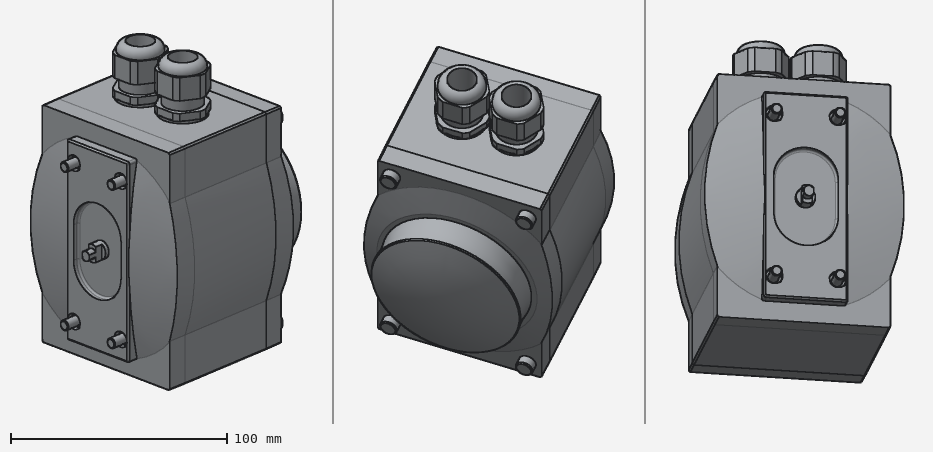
import cadquery as cq
import math

box_half_width = 40.8
box_half_height = 60.0
box_half_depth = 37.3
seam_y = 27.3
edge_chamfer = 0.9
draft_angle = 0.7
end_length = box_half_depth - seam_y

bulge_half_width = 47.0
bulge_half_chord = 34.7
cap_edge_radius = 53.8
front_cap_radius = 242.0
rear_cap_radius = 185.6
bulge_end_height = 55.0
rear_flat_diameter = 79.6

pad_half_width = 19.8
pad_half_height = 50.6
front_bulge_end_height = pad_half_height - 0.3
pad_face_y = -43.0
pad_corner_radius = 1.2
pad_rim_chamfer = 0.9
pocket_width = 30.3
pocket_height = 48.3
pocket_depth = 3.0
pocket_floor_fillet = 1.0

stud_x = 14.92
stud_z = 40.0
stud_diameter = 5.0
stud_tip_y = -49.7
stud_tip_chamfer = 0.5
stud_hole_diameter = 7.9

shaft_diameter = 9.0
shaft_flat_width = 4.5
shaft_collar_y = -42.3
shaft_shoulder_y = -46.5
shaft_tip_diameter = 5.0
shaft_tip_y = -51.0

screw_x = 33.7
screw_z = 51.8
screw_head_diameter = 8.5
screw_head_y = 42.0
screw_head_chamfer = 0.6

dome_radius = 37.1
dome_waist_radius = 36.5
dome_rim_y = 54.5
dome_crown_y = 55.2
dome_crown_radius = 36.7
dome_top_y = 61.8

gland_x = 13.5
gland_bore_diameter = 13.8
gland_seal_diameter = 24.0
gland_seal_top = 1.5
gland_hex_flats = 24.0
gland_hex_corner_diameter = 26.0
gland_base_hex_top = 5.5
gland_neck_diameter = 20.0
gland_nut_bottom = 11.9
gland_nut_top = 23.6
gland_cap_diameter = 22.5
gland_top = 148.5 - 2 * box_half_height


def cylinder_along_y(diameter, y_start, y_end, x=0.0, z=0.0):
    """Cylinder from y_start to the smaller y_end."""
    plane = cq.Workplane("XZ", origin=(x, y_start, z))
    return plane.circle(diameter / 2).extrude(y_start - y_end)


def box_outline(y):
    plane = cq.Workplane("XZ", origin=(0, y, 0))
    sketch = (
        cq.Sketch()
        .rect(2 * box_half_width, 2 * box_half_height)
        .vertices()
        .chamfer(edge_chamfer)
    )
    return plane.placeSketch(sketch)


def bulge_outline(y, end_height):
    rise = bulge_half_width - box_half_width
    arc_radius = (bulge_half_chord**2 + rise**2) / (2 * rise)
    arc_center_x = bulge_half_width - arc_radius
    end_x = arc_center_x + math.sqrt(arc_radius**2 - end_height**2)
    return (
        cq.Workplane("XZ", origin=(0, y, 0))
        .moveTo(end_x, -end_height)
        .threePointArc((bulge_half_width, 0), (end_x, end_height))
        .lineTo(-end_x, end_height)
        .threePointArc((-bulge_half_width, 0), (-end_x, -end_height))
        .close()
    )


def end_section(cap_radius, end_height):
    """Drafted end of the box with its spherical cap, on the -Y side."""
    cap_rise = cap_radius - math.sqrt(cap_radius**2 - cap_edge_radius**2)
    box_end = box_outline(-seam_y).extrude(end_length, taper=draft_angle)
    bulge_end = bulge_outline(-seam_y, end_height)
    bulge_end = bulge_end.extrude(end_length + cap_rise, taper=draft_angle)
    sphere_y = cap_radius - box_half_depth - cap_rise
    cap_sphere = cq.Workplane("XY").sphere(cap_radius).translate((0, sphere_y, 0))
    return box_end.union(bulge_end.intersect(cap_sphere))


def middle_section():
    box = box_outline(seam_y).extrude(2 * seam_y)
    return box.union(bulge_outline(seam_y, bulge_end_height).extrude(2 * seam_y))


def mounting_pad():
    return (
        cq.Workplane("XZ", origin=(0, -seam_y, 0))
        .rect(2 * pad_half_width, 2 * pad_half_height)
        .extrude(-seam_y - pad_face_y)
        .edges("|Y")
        .fillet(pad_corner_radius)
        .faces("<Y")
        .chamfer(pad_rim_chamfer)
    )


def pad_pocket():
    """Cutter that also clears the crown of the cap where it stands above the pad face."""
    return (
        cq.Workplane("XZ", origin=(0, shaft_tip_y, 0))
        .slot2D(pocket_height, pocket_width, 90)
        .extrude(shaft_tip_y - pad_face_y - pocket_depth)
        .faces(">Y")
        .edges()
        .fillet(pocket_floor_fillet)
    )


def drive_shaft():
    floor_y = pad_face_y + pocket_depth
    collar = cylinder_along_y(shaft_diameter, floor_y, shaft_collar_y)
    tongue = cylinder_along_y(shaft_diameter, shaft_collar_y, shaft_shoulder_y)
    tip = cylinder_along_y(shaft_tip_diameter, shaft_shoulder_y, shaft_tip_y)
    flats = cq.Workplane("XY").box(shaft_flat_width, 2 * abs(shaft_tip_y), shaft_diameter)
    return collar.union(tongue.union(tip).intersect(flats))


def make_housing():
    front_end = end_section(front_cap_radius, front_bulge_end_height)
    body = middle_section().union(front_end).union(mounting_pad())
    body = body.cut(pad_pocket()).union(drive_shaft())
    hole_floor_y = pad_face_y + pocket_depth
    for x in (-stud_x, stud_x):
        for z in (-stud_z, stud_z):
            body = body.cut(cylinder_along_y(stud_hole_diameter, hole_floor_y, pad_face_y, x, z))
            stud = cylinder_along_y(stud_diameter, hole_floor_y, stud_tip_y, x, z)
            body = body.union(stud.faces("<Y").chamfer(stud_tip_chamfer))
    return body


def indicator_dome(base_y):
    crown_rise = dome_top_y - dome_crown_y
    crown_sphere_radius = (dome_crown_radius**2 + crown_rise**2) / (2 * crown_rise)
    mid_radius = dome_crown_radius / 2
    mid_drop = crown_sphere_radius - math.sqrt(crown_sphere_radius**2 - mid_radius**2)
    return (
        cq.Workplane("XY")
        .moveTo(0, base_y)
        .lineTo(dome_radius, base_y)
        .threePointArc((dome_waist_radius, (base_y + dome_rim_y) / 2), (dome_radius, dome_rim_y))
        .lineTo(dome_crown_radius, dome_crown_y)
        .threePointArc((mid_radius, dome_top_y - mid_drop), (0, dome_top_y))
        .close()
        .revolve(360, (0, 0, 0), (0, 1, 0))
    )


def make_cover():
    edge_depth = math.sqrt(rear_cap_radius**2 - cap_edge_radius**2)
    flat_depth = math.sqrt(rear_cap_radius**2 - (rear_flat_diameter / 2) ** 2)
    flat_y = box_half_depth + flat_depth - edge_depth
    body = end_section(rear_cap_radius, bulge_end_height).mirror("XZ")
    body = body.cut(cylinder_along_y(rear_flat_diameter, dome_top_y, flat_y))
    body = body.union(indicator_dome(flat_y))
    for x in (-screw_x, screw_x):
        for z in (-screw_z, screw_z):
            head = cylinder_along_y(screw_head_diameter, screw_head_y, box_half_depth, x, z)
            body = body.union(head.faces(">Y").chamfer(screw_head_chamfer))
    return body


def gland_cylinder(diameter, bottom, top):
    return cq.Workplane("XY", origin=(0, 0, bottom)).circle(diameter / 2).extrude(top - bottom)


def gland_hexagon(bottom, top):
    """Hexagon with flats on +Y and -Y and rounded corners."""
    corner_to_corner = gland_hex_flats / math.cos(math.radians(30))
    hexagon = (
        cq.Workplane("XY", origin=(0, 0, bottom))
        .polygon(6, corner_to_corner)
        .extrude(top - bottom)
    )
    return hexagon.intersect(gland_cylinder(gland_hex_corner_diameter, bottom, top))


def gland_cap():
    """Rounded cap whose arc profile rises from the nut and levels out at the edge of the bore."""
    bore_radius = gland_bore_diameter / 2
    reach = gland_cap_diameter / 2 - bore_radius
    rise = gland_top - gland_nut_top
    arc_radius = (reach**2 + rise**2) / (2 * rise)
    shoulder_offset = arc_radius * math.sqrt(0.5)
    shoulder = (bore_radius + shoulder_offset, gland_top - arc_radius + shoulder_offset)
    return (
        cq.Workplane("XZ")
        .moveTo(0, gland_nut_top)
        .lineTo(gland_cap_diameter / 2, gland_nut_top)
        .threePointArc(shoulder, (bore_radius, gland_top))
        .lineTo(0, gland_top)
        .close()
        .revolve(360, (0, 0, 0), (0, 1, 0))
    )


def make_gland(x):
    return (
        gland_cylinder(gland_seal_diameter, 0, gland_seal_top)
        .union(gland_hexagon(gland_seal_top, gland_base_hex_top))
        .union(gland_cylinder(gland_neck_diameter, gland_base_hex_top, gland_nut_bottom))
        .union(gland_hexagon(gland_nut_bottom, gland_nut_top))
        .union(gland_cap())
        .cut(gland_cylinder(gland_bore_diameter, 0, gland_top))
        .translate((x, 0, box_half_height))
    )


housing = make_housing()
cover = make_cover()
glands = [make_gland(x) for x in (-gland_x, gland_x)]

result = cq.Compound.makeCompound([housing.val(), cover.val(), *[gland.val() for gland in glands]])